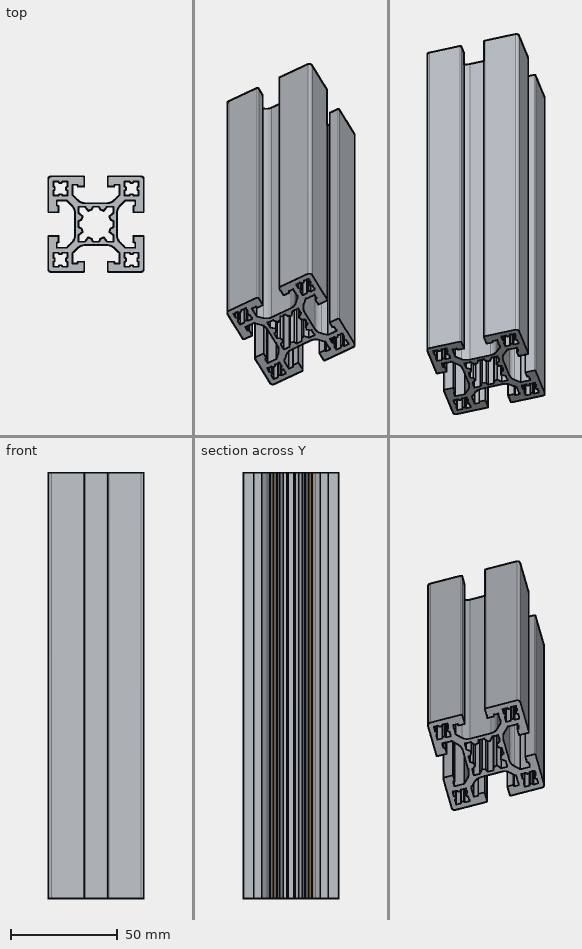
import cadquery as cq
import math

SIDE = 45.0
HALF_SIDE = SIDE / 2
LENGTH = 200.0
CORNER_RADIUS = 1.5

SLOT_HALF_OPENING = 5.5
SLOT_HALF_WIDTH = 11.0
SLOT_FLOOR = 9.9
SLOT_CHAMFER_TOP = 13.7
FLOOR_FILLET = 5.0
LIP_THICKNESS = 4.1
LIP_TIP_THICKNESS = 4.9
LIP_TIP_LENGTH = 3.0
LIP_TIP_SLOPE = 0.3
LIP_EDGE_RADIUS = 0.6

CORE_HALF_WIDTH = 8.15
CORE_BORE_RADIUS = 7.1
CORE_RIB_INNER_BASE = 1.4
CORE_RIB_INNER_TIP = 2.0
CORE_RIB_OUTER_TIP = 3.6
CORE_RIB_OUTER_BASE = 5.2

CORNER_HOLLOW_OFFSET = 16.7
CORNER_HOLLOW_HALF_WIDTH = 3.25
CORNER_BORE_RADIUS = 2.6
CORNER_RIB_HALF_BASE = 1.0
CORNER_RIB_HALF_TIP = 0.5

QUARTER_TURNS = (0, 90, 180, 270)


def on_circle(radius, x):
    """Point at the given x on the upper half of a circle about the origin."""
    return (x, math.sqrt(radius**2 - x**2))


def about_z(solid, angle):
    return solid.rotate((0, 0, 0), (0, 0, 1), angle)


def square_bar(width):
    return cq.Workplane("XY").rect(width, width).extrude(LENGTH)


def t_slot():
    """Void of the T-slot that opens on the +Y side."""
    lip_root = HALF_SIDE - LIP_THICKNESS
    lip_tip = HALF_SIDE - LIP_TIP_THICKNESS
    step_start = SLOT_HALF_OPENING + LIP_TIP_LENGTH
    step_end = step_start + LIP_TIP_SLOPE
    floor_half_width = SLOT_HALF_WIDTH - (SLOT_CHAMFER_TOP - SLOT_FLOOR)
    right_side = [
        (floor_half_width, SLOT_FLOOR),
        (SLOT_HALF_WIDTH, SLOT_CHAMFER_TOP),
        (SLOT_HALF_WIDTH, lip_root),
        (step_end, lip_root),
        (step_start, lip_tip),
        (SLOT_HALF_OPENING, lip_tip),
    ]
    left_side = [(-x, y) for x, y in reversed(right_side)]
    arc_inset = LIP_EDGE_RADIUS * (1 - math.sqrt(0.5))
    slot = (
        cq.Workplane("XY")
        .polyline(right_side)
        .lineTo(SLOT_HALF_OPENING, HALF_SIDE - LIP_EDGE_RADIUS)
        .threePointArc(
            (SLOT_HALF_OPENING + arc_inset, HALF_SIDE - arc_inset),
            (SLOT_HALF_OPENING + LIP_EDGE_RADIUS, HALF_SIDE),
        )
        .lineTo(-SLOT_HALF_OPENING - LIP_EDGE_RADIUS, HALF_SIDE)
        .threePointArc(
            (-SLOT_HALF_OPENING - arc_inset, HALF_SIDE - arc_inset),
            (-SLOT_HALF_OPENING, HALF_SIDE - LIP_EDGE_RADIUS),
        )
        .polyline(left_side, includeCurrent=True)
        .close()
        .extrude(LENGTH)
    )
    floor_corners = cq.selectors.BoxSelector(
        (-SLOT_HALF_WIDTH, 0, 0),
        (SLOT_HALF_WIDTH, (SLOT_FLOOR + SLOT_CHAMFER_TOP) / 2, LENGTH),
    )
    return slot.edges("|Z").edges(floor_corners).fillet(FLOOR_FILLET)


def rib(wall, bore_radius, base_start, tip_start, tip_end, base_end):
    """Rib standing on the wall at y = wall, its tip cut along the bore circle."""
    return (
        cq.Workplane("XY")
        .moveTo(base_start, wall)
        .lineTo(*on_circle(bore_radius, tip_start))
        .threePointArc(
            on_circle(bore_radius, (tip_start + tip_end) / 2),
            on_circle(bore_radius, tip_end),
        )
        .lineTo(base_end, wall)
        .close()
        .extrude(LENGTH)
    )


def core_hollow():
    """Void in the middle of the bar, with two ribs per wall."""
    right_rib = rib(
        CORE_HALF_WIDTH,
        CORE_BORE_RADIUS,
        CORE_RIB_INNER_BASE,
        CORE_RIB_INNER_TIP,
        CORE_RIB_OUTER_TIP,
        CORE_RIB_OUTER_BASE,
    )
    left_rib = right_rib.mirror("YZ")
    hollow = square_bar(2 * CORE_HALF_WIDTH)
    for angle in QUARTER_TURNS:
        hollow = hollow.cut(about_z(right_rib, angle)).cut(about_z(left_rib, angle))
    return hollow


def corner_hollow():
    """Void in the +X +Y corner, with one rib per wall."""
    wall_rib = rib(
        CORNER_HOLLOW_HALF_WIDTH,
        CORNER_BORE_RADIUS,
        -CORNER_RIB_HALF_BASE,
        -CORNER_RIB_HALF_TIP,
        CORNER_RIB_HALF_TIP,
        CORNER_RIB_HALF_BASE,
    )
    hollow = square_bar(2 * CORNER_HOLLOW_HALF_WIDTH)
    for angle in QUARTER_TURNS:
        hollow = hollow.cut(about_z(wall_rib, angle))
    return hollow.translate((CORNER_HOLLOW_OFFSET, CORNER_HOLLOW_OFFSET, 0))


def profile_bar():
    bar = square_bar(SIDE).edges("|Z").fillet(CORNER_RADIUS)
    bar = bar.cut(core_hollow())
    slot = t_slot()
    hollow = corner_hollow()
    for angle in QUARTER_TURNS:
        bar = bar.cut(about_z(slot, angle)).cut(about_z(hollow, angle))
    return bar


result = profile_bar()